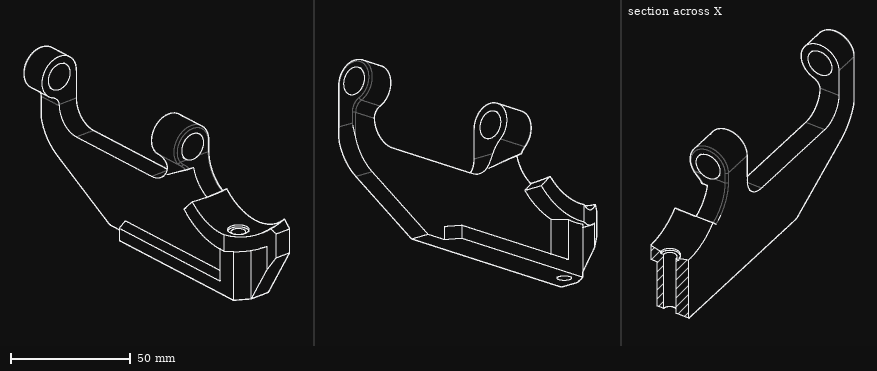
import cadquery as cq
import math

LENGTH = 150.0
PLATE_THICKNESS = 9.5
TOTAL_DEPTH = 2 * PLATE_THICKNESS
SLOPE = math.radians(30)

BARREL_RADIUS = TOTAL_DEPTH / 2
BARREL_Z = 57.0
BARREL_BORE = 12.0
END_ROUND = 1.0
LEFT_BARREL_END = 12.4
LEFT_BLEND_RADIUS = 5.0
RIGHT_BARREL_START = 83.0
RIGHT_BARREL_END = 98.5
RIGHT_BLEND_RADIUS = 15.0
GUSSET_TOP_Z = 47.1

WAIST_Z = 33.0
WAIST_RADIUS = 11.0
HEEL_RADIUS = 22.0
BOTTOM_LEFT_X = 45.0
BOTTOM_RIGHT_X = 136.25
SHOULDER_RADIUS = 17.0
SHOULDER_Z = 51.9

SADDLE_X = 128.0
SADDLE_Z = BARREL_Z
SADDLE_OUTER_RADIUS = 34.0
SPHERE_RADIUS = 28.0
BEVEL_START_X = 130.0
SCREW_HOLE = 6.1
SCREW_HEAD = 9.0
SCREW_HEAD_DEPTH = 0.6

RIB_HEIGHT = 6.5
RIB_LEFT_X = 55.0
RIB_WIDTH = 5.75
UPRIGHT_LEFT_X = 120.0
UPRIGHT_TOP_Z = 27.0


def plate_outline():
    """Closed XZ outline of the plate, running up to the saddle centre."""
    heel_tangent = HEEL_RADIUS * math.tan(math.pi / 4 - SLOPE / 2)
    heel_corner_z = BOTTOM_LEFT_X * math.tan(SLOPE)
    heel_top = (0, heel_corner_z + heel_tangent)
    heel_end_x = heel_tangent * math.cos(SLOPE)
    heel_end = (heel_end_x, heel_corner_z - heel_end_x * math.tan(SLOPE))
    heel_mid_angle = math.pi + (math.pi / 2 - SLOPE) / 2
    heel_mid = (
        HEEL_RADIUS + HEEL_RADIUS * math.cos(heel_mid_angle),
        heel_top[1] + HEEL_RADIUS * math.sin(heel_mid_angle),
    )

    shoulder_x = RIGHT_BARREL_END + SHOULDER_RADIUS
    face_offset = SADDLE_Z - SADDLE_X
    offset_angle = math.asin(
        (face_offset + shoulder_x - SHOULDER_Z) / (SHOULDER_RADIUS * math.sqrt(2))
    )
    end_angle = math.pi + math.pi / 4 - offset_angle

    def shoulder_point(angle):
        return (
            shoulder_x + SHOULDER_RADIUS * math.cos(angle),
            SHOULDER_Z + SHOULDER_RADIUS * math.sin(angle),
        )

    top_z = BARREL_Z + BARREL_RADIUS
    waist_top_z = WAIST_Z + WAIST_RADIUS
    right_drop = LENGTH - SADDLE_X
    toe_z = (LENGTH - BOTTOM_RIGHT_X) / math.tan(SLOPE)
    return (
        cq.Workplane("XZ")
        .moveTo(0, top_z)
        .lineTo(*heel_top)
        .threePointArc(heel_mid, heel_end)
        .lineTo(BOTTOM_LEFT_X, 0)
        .lineTo(BOTTOM_RIGHT_X, 0)
        .lineTo(LENGTH, toe_z)
        .lineTo(LENGTH, SADDLE_Z - right_drop)
        .lineTo(SADDLE_X, SADDLE_Z)
        .lineTo(*shoulder_point(end_angle))
        .threePointArc(shoulder_point((math.pi + end_angle) / 2), (RIGHT_BARREL_END, SHOULDER_Z))
        .lineTo(RIGHT_BARREL_END, top_z)
        .lineTo(RIGHT_BARREL_START, top_z)
        .lineTo(RIGHT_BARREL_START, waist_top_z)
        .radiusArc((RIGHT_BARREL_START - WAIST_RADIUS, WAIST_Z), WAIST_RADIUS)
        .lineTo(LEFT_BARREL_END + WAIST_RADIUS, WAIST_Z)
        .radiusArc((LEFT_BARREL_END, waist_top_z), WAIST_RADIUS)
        .lineTo(LEFT_BARREL_END, top_z)
        .close()
    )


def barrel_bar(start_x, end_x, blend_radius):
    """Bar along X: the barrel blended by a concave arc into the plate's cross-section."""
    center_distance = BARREL_RADIUS + blend_radius
    blend_drop = math.sqrt(center_distance**2 - blend_radius**2)
    blend_center = (-PLATE_THICKNESS - blend_radius, BARREL_Z - blend_drop)
    ratio = BARREL_RADIUS / center_distance
    tangent = (-BARREL_RADIUS - blend_radius * ratio, BARREL_Z - blend_drop * ratio)
    mid_angle = math.atan2(blend_drop, blend_radius) / 2
    blend_mid = (
        blend_center[0] + blend_radius * math.cos(mid_angle),
        blend_center[1] + blend_radius * math.sin(mid_angle),
    )
    crown = (-BARREL_RADIUS, BARREL_Z + BARREL_RADIUS)
    return (
        cq.Workplane("YZ", origin=(start_x, 0, 0))
        .moveTo(0, 0)
        .lineTo(0, BARREL_Z)
        .threePointArc(crown, tangent)
        .threePointArc(blend_mid, (-PLATE_THICKNESS, blend_center[1]))
        .lineTo(-PLATE_THICKNESS, 0)
        .close()
        .extrude(end_x - start_x)
    )


def left_barrel():
    """Left barrel and the plate end below it, rounded along the end face."""
    bar = barrel_bar(0, LEFT_BARREL_END + WAIST_RADIUS, LEFT_BLEND_RADIUS)
    rounded = bar.faces("<X").edges("not(<Z)").fillet(END_ROUND)
    return rounded.intersect(plate_outline().extrude(TOTAL_DEPTH))


def right_end_edges(body):
    """Edges around the right barrel's end face and the shoulder arc below it."""
    end_zone = cq.selectors.BoxSelector(
        (RIGHT_BARREL_END - END_ROUND / 2, -2 * TOTAL_DEPTH, WAIST_Z),
        (RIGHT_BARREL_END + SHOULDER_RADIUS / 2, TOTAL_DEPTH, BARREL_Z + TOTAL_DEPTH),
    )
    return body.edges(end_zone).edges("not |Y")


def right_barrel():
    """Right barrel with its concave gusset, which ends below on a sloping line."""
    start_x = RIGHT_BARREL_START - WAIST_RADIUS
    bar = barrel_bar(start_x, SADDLE_X, RIGHT_BLEND_RADIUS)
    bar = bar.intersect(plate_outline().extrude(TOTAL_DEPTH))
    rounded = right_end_edges(bar).fillet(END_ROUND)
    slope_run = SADDLE_X - RIGHT_BARREL_END
    below_slope = (
        cq.Workplane("XZ")
        .moveTo(start_x, GUSSET_TOP_Z - (RIGHT_BARREL_END - start_x) * math.tan(SLOPE))
        .lineTo(SADDLE_X, GUSSET_TOP_Z + slope_run * math.tan(SLOPE))
        .lineTo(SADDLE_X, 0)
        .lineTo(start_x, 0)
        .close()
        .extrude(TOTAL_DEPTH)
    )
    return rounded.cut(below_slope)


def plate():
    """Flat plate right of the left arm, with its shoulder rounded on the back edge only."""
    blank = cq.Workplane("XY").box(LENGTH, TOTAL_DEPTH, SHOULDER_Z, centered=(False, True, False))
    blank = blank.intersect(plate_outline().extrude(PLATE_THICKNESS))
    left_arm = cq.Workplane("XY").box(
        LEFT_BARREL_END, 2 * TOTAL_DEPTH, SHOULDER_Z, centered=(False, True, False)
    )
    rounded = right_end_edges(blank).edges(">Y").fillet(END_ROUND)
    return rounded.cut(left_arm)


def saddle_ring():
    """Quarter ring under the saddle, cut off flat at the part's right end."""
    reach = SADDLE_OUTER_RADIUS / math.sqrt(2)
    sector = (
        cq.Workplane("XZ")
        .moveTo(SADDLE_X, SADDLE_Z)
        .lineTo(SADDLE_X - reach, SADDLE_Z - reach)
        .threePointArc((SADDLE_X, SADDLE_Z - SADDLE_OUTER_RADIUS), (SADDLE_X + reach, SADDLE_Z - reach))
        .close()
        .extrude(TOTAL_DEPTH)
    )
    beyond_end = cq.Workplane("XY", origin=(LENGTH, 0, 0)).box(
        LENGTH, 2 * TOTAL_DEPTH, 2 * SADDLE_Z, centered=(False, True, True)
    )
    return sector.cut(beyond_end)


def rib():
    """Raised bar along the bottom edge with an upright below the saddle; ends slope 30 degrees."""
    taper = RIB_HEIGHT * math.tan(SLOPE)

    def tapered_block(left_x, height):
        return (
            cq.Workplane("XY")
            .moveTo(left_x, -PLATE_THICKNESS)
            .lineTo(left_x + taper, -PLATE_THICKNESS - RIB_HEIGHT)
            .lineTo(BOTTOM_RIGHT_X - taper, -PLATE_THICKNESS - RIB_HEIGHT)
            .lineTo(BOTTOM_RIGHT_X, -PLATE_THICKNESS)
            .close()
            .extrude(height)
        )

    return tapered_block(RIB_LEFT_X, RIB_WIDTH).union(tapered_block(UPRIGHT_LEFT_X, UPRIGHT_TOP_Z))


def saddle_sphere():
    """Ball that hollows out the saddle, centred on the plate's front face."""
    return cq.Workplane("XY", origin=(SADDLE_X, -PLATE_THICKNESS, SADDLE_Z)).sphere(SPHERE_RADIUS)


def front_bevel():
    """Corner removed by a vertical plane running back at 30 degrees to the part's right end."""
    run = 2 * (LENGTH - BEVEL_START_X)
    return (
        cq.Workplane("XY")
        .moveTo(BEVEL_START_X, -TOTAL_DEPTH)
        .lineTo(BEVEL_START_X + run, -TOTAL_DEPTH)
        .lineTo(BEVEL_START_X + run, -TOTAL_DEPTH + run * math.tan(SLOPE))
        .close()
        .extrude(SADDLE_Z)
    )


def screw_hole():
    """Vertical through hole under the saddle with a shallow counterbore."""
    head_floor_z = SADDLE_Z - SPHERE_RADIUS - SCREW_HEAD_DEPTH
    plane = cq.Workplane("XY", origin=(SADDLE_X, -PLATE_THICKNESS, 0))
    shank = plane.circle(SCREW_HOLE / 2).extrude(SADDLE_Z)
    head = plane.workplane(offset=head_floor_z).circle(SCREW_HEAD / 2)
    return shank.union(head.extrude(SADDLE_Z - head_floor_z))


def barrel_bore():
    """Common bore through both barrels."""
    return (
        cq.Workplane("YZ", origin=(0, -BARREL_RADIUS, BARREL_Z))
        .circle(BARREL_BORE / 2)
        .extrude(LENGTH)
    )


result = plate()
for piece in (left_barrel(), right_barrel(), saddle_ring(), rib()):
    result = result.union(piece)
for void in (saddle_sphere(), front_bevel(), screw_hole(), barrel_bore()):
    result = result.cut(void)